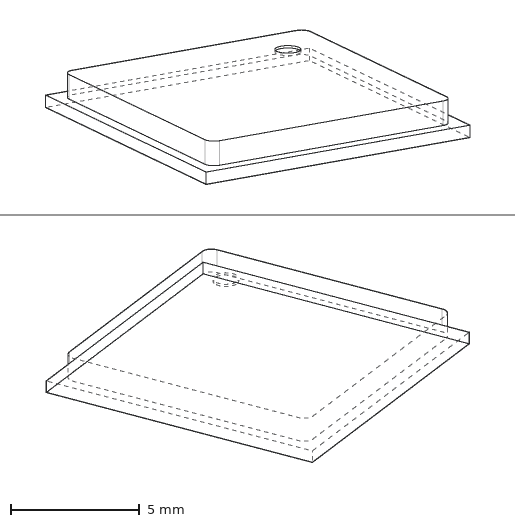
import cadquery as cq

base_side = 12.0
total_height = 1.5
base_height = 0.5

base_margin = 0.5
lid_side = base_side - 2 * base_margin
lid_height = total_height - base_height
lid_corner_radius = 0.42

mark_radius = 0.5
mark_offset = 3.5
mark_depth = 0.1


def make_base():
    return cq.Workplane("XY").rect(base_side, base_side).extrude(base_height)


def make_lid():
    lid = cq.Workplane("XY", origin=(0, 0, base_height)).rect(lid_side, lid_side).extrude(lid_height)
    return lid.edges("|Z").fillet(lid_corner_radius)


def make_mark_recess():
    top = cq.Workplane("XY", origin=(-mark_offset, mark_offset, total_height))
    return top.circle(mark_radius).extrude(-mark_depth)


result = make_base().union(make_lid()).cut(make_mark_recess())